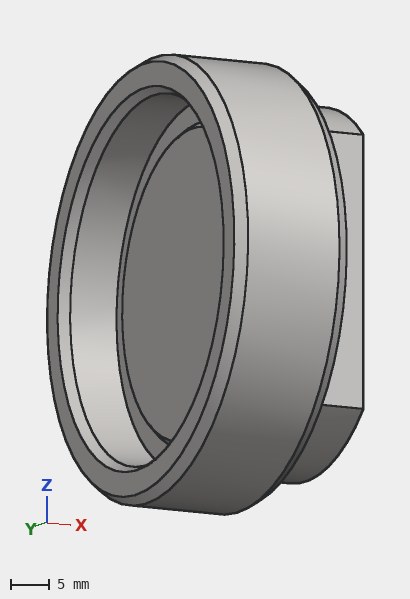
import cadquery as cq

body_radius = 58.3 / 2
body_length = 16.0

outer_bevel_length = 1.5
outer_bevel_depth = 1.0

pocket_radius = 24.15
pocket_depth = 8.0
mouth_bevel_length = 1.4
mouth_bevel_depth = 0.8

disc_base_radius = 21.15
disc_top_radius = 20.33
disc_height = 1.0

boss_radius = 48.6 / 2
boss_width_across_flats = 32.6
total_length = 24.0
boss_length = total_length - body_length


def make_body():
    """Turn the bevelled body, its pocket and the disc inside it in one profile."""
    bevel_radius = body_radius - outer_bevel_depth
    mouth_radius = pocket_radius + mouth_bevel_depth
    disc_face = pocket_depth - disc_height
    profile = (
        cq.Workplane("XZ")
        .moveTo(disc_face, 0)
        .lineTo(disc_face, disc_top_radius)
        .lineTo(pocket_depth, disc_base_radius)
        .lineTo(pocket_depth, pocket_radius)
        .lineTo(mouth_bevel_length, pocket_radius)
        .lineTo(0, mouth_radius)
        .lineTo(0, bevel_radius)
        .lineTo(outer_bevel_length, body_radius)
        .lineTo(body_length - outer_bevel_length, body_radius)
        .lineTo(body_length, bevel_radius)
        .lineTo(body_length, 0)
        .close()
    )
    return profile.revolve(360, (0, 0, 0), (1, 0, 0))


def make_boss():
    """Round boss behind the body with a flat on its -Y and +Y sides."""
    back_face = cq.Workplane("YZ", origin=(body_length, 0, 0))
    cylinder = back_face.circle(boss_radius).extrude(boss_length)
    flat_sided_block = back_face.rect(boss_width_across_flats, 2 * boss_radius).extrude(boss_length)
    return cylinder.intersect(flat_sided_block)


result = make_body().union(make_boss())